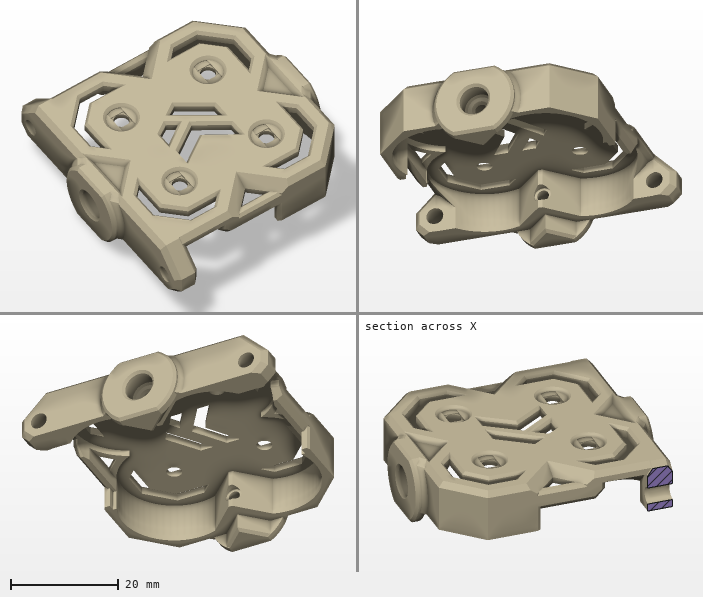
import cadquery as cq
import math


half_width = 21.5
half_length = 22.0
top_z = 6.75
skirt_z = -3.25
plate_thickness = 2.0
corner_cut = 7.1
edge_chamfer = 1.05
clearance = 1.0
beyond = 30.0

ear_half_width = 25.75
ear_slope_top_x = 20.65
ear_tip_bottom_z = -1.7
ear_depth = 5.1
ear_hole_x = 21.66
ear_hole_diameter = 3.3

seat_x = 9.43
seat_y = 9.9
seat_diameter = 5.7
seat_depth = 0.6
screw_diameter = 3.0
bridge_step = 0.2
pocket_radius = 10.8

wall_inner_x = 19.35
lower_wall_inner_x = 20.05
side_gap_half_length = 5.6
side_gap_ceiling_z = top_z - 3.25

rim_bevel = 0.55
ring_outer_x = 18.47
ring_outer_y = 18.88
ring_band = 3.05
ring_corner_sum = 32.1
ring_side_end = 10.7
ring_long_end = 11.75
chevron_half_height = 6.68
chevron_mid_y = -0.12
chevron_top_y = chevron_mid_y + chevron_half_height
chevron_bottom_y = chevron_mid_y - chevron_half_height

side_notch_apex_x = 13.66
side_notch_depth = 2.05
sill_depth = 2.0
sill_bevel = 0.55
end_notch_apex_y = 14.45
end_notch_depth = 1.0
crest_y = 20.9

boss_radius = 7.87
boss_face_y = 47.83 / 2
boss_chamfer = 0.53
collar_tip_y = 22.9
facet_corner = (-4.0, -21.75, top_z)
facet_top_edge = (-1.2, 0.85, 0)
facet_normal = (-0.72, -1.02, 2.34)
facet_size = 14.0
bore_diameter = 5.7
bore_chamfer = 0.5
bore_floor_chamfer = 0.4
bore_depth = 4.0
pin_diameter = 2.3
pin_chamfer = 0.5
inner_bore_diameter = 3.3
inner_bore_depth = 1.6
post_tip_y = 14.5
post_tip_half_width = 0.4
foot_apex_y = 17.4
foot_chamfer = 0.53

opening_back_y = 4.22
opening_sill_z = 0.81
opening_step_start_y = -7.0
opening_step_end_y = -8.93
opening_step_z = 2.75
opening_top_z = 4.0
opening_front_y = -17.0
opening_bevel = 1.0
opening_sill_drop = 1.1
opening_top_drop = 0.5
opening_reach = 4.5
end_bevel_x = 0.35
end_bevel_y = 0.68


def level(z):
    """Horizontal workplane at height z."""
    return cq.Workplane("XY").workplane(offset=z)


def prism(points, z_low, z_high):
    """Upright prism on an XY outline."""
    return level(z_low).polyline(points).close().extrude(z_high - z_low)


def sunk(points, depth):
    """Solid going down from the top face, with walls sloping inward at 45 degrees."""
    return level(top_z).polyline(points).close().extrude(-depth, taper=45)


def sunk_window(points, bevel, z_low):
    """Cutter from the top face down to z_low: a 45 degree bevel, then straight walls."""
    shaft = level(z_low).polyline(points).close().offset2D(-bevel, "intersection").extrude(top_z - z_low)
    return sunk(points, bevel).union(shaft)


def plate_window(points):
    return sunk_window(points, rim_bevel, top_z - plate_thickness - clearance)


def two_sides(shape, plane):
    return shape.union(shape.mirror(plane))


def four_ways(shape):
    return two_sides(two_sides(shape, "YZ"), "XZ")


def make_body():
    """Block with cut back corners, ending inside the ear bar at the front."""
    front = ear_depth / 2 - half_length
    right = [
        (half_width, front),
        (half_width, half_length - corner_cut),
        (half_width - corner_cut, half_length),
    ]
    left = [(-x, y) for x, y in reversed(right)]
    return prism(right + left, skirt_z, top_z).faces(">Z").edges("not(<Y)").chamfer(edge_chamfer)


def make_ear_bar():
    tip_top_z = top_z - (ear_half_width - ear_slope_top_x)
    bottom_x = ear_half_width - (ear_tip_bottom_z - skirt_z)
    right = [
        (bottom_x, skirt_z),
        (ear_half_width, ear_tip_bottom_z),
        (ear_half_width, tip_top_z),
        (ear_slope_top_x, top_z),
    ]
    left = [(-x, z) for x, z in reversed(right)]
    back = cq.Workplane("XZ").workplane(offset=half_length - ear_depth)
    bar = back.polyline(right + left).close().extrude(ear_depth)
    bar = bar.faces("<Y").edges("not(<Z)").chamfer(edge_chamfer)
    return bar.faces(">Y").edges("not(<Z or >Z)").chamfer(edge_chamfer)


def make_ear_holes():
    back = cq.Workplane("XZ").workplane(offset=half_length - ear_depth - clearance)
    centers = [(-ear_hole_x, 0), (ear_hole_x, 0)]
    return back.pushPoints(centers).circle(ear_hole_diameter / 2).extrude(ear_depth + 2 * clearance)


def make_cavity():
    """Four round pockets under the plate, open to the middle, and a gap behind the side walls."""
    floor = level(skirt_z)
    pocket_height = top_z - plate_thickness - skirt_z
    pocket = floor.circle(pocket_radius).extrude(pocket_height)
    middle = floor.rect(2 * seat_x, 2 * seat_y).extrude(pocket_height)
    gap_length = 2 * side_gap_half_length
    gap = floor.rect(2 * wall_inner_x, gap_length).extrude(side_gap_ceiling_z - skirt_z)
    low_gap = floor.rect(2 * lower_wall_inner_x, gap_length).extrude(opening_sill_z - skirt_z)
    pockets = four_ways(pocket.translate((seat_x, seat_y, 0)))
    return pockets.union(middle).union(gap).union(low_gap)


def make_side_opening():
    """Stepped opening in the left skirt wall, bevelled outside, with a sloped roof inside."""
    low = skirt_z - clearance
    inner = [
        (opening_back_y, low),
        (opening_back_y, opening_sill_z),
        (opening_step_start_y, opening_sill_z),
        (opening_step_end_y, opening_step_z),
        (opening_step_end_y, opening_top_z),
        (opening_front_y, opening_top_z),
        (opening_front_y, low),
    ]
    miter = opening_bevel * math.tan(math.radians(22.5))
    outer_sill_z = opening_sill_z + opening_sill_drop
    outer_step_end_y = opening_step_end_y + opening_bevel
    outer_top_z = opening_top_z + opening_top_drop
    outer = [
        (opening_back_y, low),
        (opening_back_y, outer_sill_z),
        (opening_step_start_y + miter, outer_sill_z),
        (outer_step_end_y, opening_step_z + miter),
        (outer_step_end_y, outer_top_z),
        (opening_front_y, outer_top_z),
        (opening_front_y, low),
    ]
    wall = cq.Workplane("YZ").workplane(offset=-half_width)
    through = wall.polyline(inner).close().extrude(opening_reach)
    bevel = wall.polyline(outer).close().workplane(offset=opening_bevel).polyline(inner).close()
    bevel = bevel.loft(ruled=True)

    roof_x = opening_bevel - half_width
    roof_outline = [
        (roof_x, opening_top_z),
        (roof_x + opening_reach, opening_top_z - opening_reach),
        (roof_x + opening_reach, opening_top_z),
    ]
    roof_plane = cq.Workplane("XZ").workplane(offset=-opening_step_end_y)
    roof = roof_plane.polyline(roof_outline).close().extrude(opening_step_end_y - opening_front_y)

    end_outline = [
        (-half_width, opening_back_y),
        (end_bevel_x - half_width, opening_back_y),
        (-half_width, opening_back_y + end_bevel_y),
    ]
    end_bevel = prism(end_outline, low, outer_sill_z)
    return through.cut(roof).union(bevel).union(end_bevel)


def make_disc():
    """Round flange with flats at the top and bottom, standing on the front face."""
    disc = cq.Workplane("XZ").workplane(offset=half_length).circle(boss_radius)
    disc = disc.extrude(boss_face_y - half_length)
    flats = cq.Workplane("XY").box(2 * beyond, 2 * beyond, 2 * top_z)
    return disc.intersect(flats).faces("<Y").edges().chamfer(boss_chamfer)


def make_collar():
    """Cone that widens from the disc into the front face, with its upper corners cut flat."""
    growth = collar_tip_y - crest_y
    base = cq.Workplane("XZ").workplane(offset=crest_y)
    collar = base.circle(boss_radius + growth).extrude(growth, taper=45)
    collar = collar.intersect(level(skirt_z).rect(2 * beyond, 2 * beyond).extrude(top_z - skirt_z))
    facet_plane = cq.Workplane(cq.Plane(facet_corner, facet_top_edge, facet_normal))
    facet = facet_plane.rect(facet_size, facet_size).extrude(facet_size / 2)
    return collar.cut(facet).cut(facet.mirror("YZ"))


def make_post():
    """Blunt wedge behind the front wall that carries the inner end of the bore."""
    base_y = half_length - clearance
    base_half_width = post_tip_half_width + base_y - post_tip_y
    outline = [
        (-post_tip_half_width, -post_tip_y),
        (post_tip_half_width, -post_tip_y),
        (base_half_width, -base_y),
        (-base_half_width, -base_y),
    ]
    return prism(outline, skirt_z, top_z - end_notch_depth)


def make_foot():
    """Triangular block behind the disc, reaching below the skirt."""
    half_base = half_length - foot_apex_y
    outline = [(0, -foot_apex_y), (half_base, -half_length), (-half_base, -half_length)]
    return prism(outline, -top_z, 0).faces("<Z").edges("not(<Y)").chamfer(foot_chamfer)


def make_boss():
    return make_disc().union(make_collar()).union(make_post()).union(make_foot())


def make_bore():
    """Stepped bore of the front boss, revolved about the Y axis."""
    bore = bore_diameter / 2
    pin = pin_diameter / 2
    inner = inner_bore_diameter / 2
    floor_y = boss_face_y - bore_depth
    inner_floor_y = post_tip_y + inner_bore_depth
    inside_y = post_tip_y - clearance
    half_section = [
        (0, -boss_face_y),
        (bore + bore_chamfer, -boss_face_y),
        (bore, bore_chamfer - boss_face_y),
        (bore, -floor_y - bore_floor_chamfer),
        (bore - bore_floor_chamfer, -floor_y),
        (pin + pin_chamfer, -floor_y),
        (pin, pin_chamfer - floor_y),
        (pin, -inner_floor_y),
        (inner, -inner_floor_y),
        (inner, -inside_y),
        (0, -inside_y),
    ]
    return cq.Workplane("XY").polyline(half_section).close().revolve(360, (0, 0, 0), (0, 1, 0))


def make_screw_seat():
    """Conical seat, then a slot, a square and the screw hole, each a step deeper."""
    radius = seat_diameter / 2
    top = level(top_z)
    seat = top.circle(radius + seat_depth).extrude(-seat_depth, taper=45)
    slot = top.rect(seat_diameter, screw_diameter).extrude(-seat_depth - bridge_step)
    slot = slot.intersect(top.circle(radius).extrude(-plate_thickness))
    square = top.rect(screw_diameter, screw_diameter).extrude(-seat_depth - 2 * bridge_step)
    hole = top.circle(screw_diameter / 2).extrude(-plate_thickness - clearance)
    return seat.union(slot).union(square).union(hole).translate((-seat_x, seat_y, 0))


def make_ring_slot():
    """Bent slot around the back left screw seat: a band of an octagon."""
    inner_x = ring_outer_x - ring_band
    inner_y = ring_outer_y - ring_band
    inner_corner_sum = ring_corner_sum - ring_band * math.sqrt(2)
    return plate_window([
        (-ring_outer_x, ring_corner_sum - ring_outer_x),
        (ring_outer_y - ring_corner_sum, ring_outer_y),
        (ring_long_end - ring_outer_y, ring_outer_y),
        (ring_long_end - inner_y, inner_y),
        (inner_y - inner_corner_sum, inner_y),
        (-inner_x, inner_corner_sum - inner_x),
        (-inner_x, inner_x - ring_side_end),
        (-ring_outer_x, ring_outer_x - ring_side_end),
    ])


def make_chevrons():
    """Three slanted windows; the right arrow has no bevel along its front edge."""
    long_bar = [(-2.2, chevron_top_y), (1.74, chevron_top_y), (-5.03, -2.97), (-6.88, chevron_mid_y)]
    short_bar = [(-2.2, -1.15), (1.74, chevron_bottom_y), (-2.26, chevron_bottom_y), (-4.09, -4.0)]
    arrow = [
        (3.26, chevron_top_y),
        (7.3, chevron_top_y),
        (2.8, chevron_mid_y),
        (7.3, chevron_bottom_y),
        (3.26, chevron_bottom_y),
        (-1.3, chevron_mid_y),
    ]
    arrow_front_y = chevron_bottom_y + rim_bevel
    keep = cq.Workplane("XY").box(2 * beyond, 2 * beyond, 2 * beyond)
    arrow_window = plate_window(arrow).intersect(keep.translate((0, beyond + arrow_front_y, 0)))
    return plate_window(long_bar).union(plate_window(short_bar)).union(arrow_window)


def make_side_notch():
    """V notch in the left edge that spares a bevelled sill on top of the side wall."""
    reach = half_width + beyond
    span = reach - side_notch_apex_x
    notch_outline = [(-side_notch_apex_x, 0), (-reach, span), (-reach, -span)]
    notch = sunk_window(notch_outline, side_notch_depth, skirt_z)
    sill_z = top_z - sill_depth
    bevel_z = sill_z - sill_bevel
    sill_section = [
        (-half_width, bevel_z),
        (sill_bevel - half_width, sill_z),
        (-wall_inner_x - sill_bevel, sill_z),
        (-wall_inner_x, bevel_z),
        (-wall_inner_x, skirt_z),
        (-half_width, skirt_z),
    ]
    sill = cq.Workplane("XZ").workplane(offset=-beyond).polyline(sill_section).close().extrude(2 * beyond)
    return notch.cut(sill)


def make_end_notch():
    """Shallow V notch at the front, closed by a ramp up to the crest of the boss."""
    span = crest_y - end_notch_apex_y
    return sunk([(0, -end_notch_apex_y), (-span, -crest_y), (span, -crest_y)], end_notch_depth)


shell = make_body().union(make_ear_bar()).cut(make_cavity())
side_opening = make_side_opening()
shell = shell.cut(side_opening).cut(side_opening.mirror("YZ"))

boss = make_boss()
shell = shell.union(boss).union(boss.mirror("XZ"))

side_notch = make_side_notch()
shell = shell.cut(side_notch).cut(side_notch.mirror("YZ"))
end_notch = make_end_notch()
shell = shell.cut(end_notch).cut(end_notch.mirror("XZ"))

bore_cut = make_bore()
shell = shell.cut(bore_cut).cut(bore_cut.mirror("XZ"))
shell = shell.cut(four_ways(make_screw_seat())).cut(four_ways(make_ring_slot()))
result = shell.cut(make_chevrons()).cut(make_ear_holes())